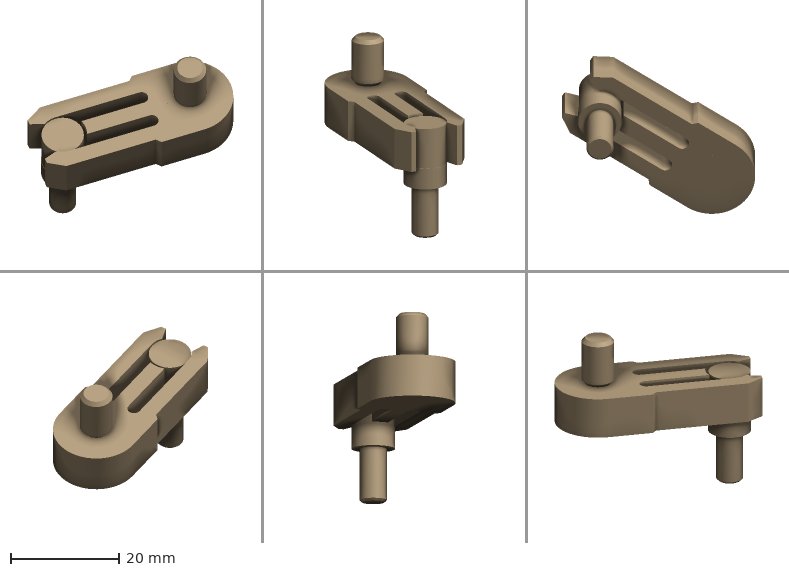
import cadquery as cq
import math


thickness = 7.7
head_radius = 8.0
shoulder_y = -8.5
shoulder_length = 0.8
pin_spacing = 25.0
clamp_y = -pin_spacing
tip_y = clamp_y - 5.0
tongue_width = 3.1
slot_width = 2.45
prong_width = tongue_width
prong_inner_x = tongue_width / 2 + slot_width
prong_outer_x = prong_inner_x + prong_width
prong_taper_y = clamp_y - 1.85
tip_inner_x = 4.15
tip_outer_x = 5.15
tongue_end_radius = 4.5

bore_radius = prong_inner_x
mouth_half_width = 3.25
mouth_y = clamp_y - math.sqrt(bore_radius**2 - mouth_half_width**2)

insert_radius = 4.5
stud_radius = 3.0
stud_length = 9.0
stud_chamfer_length = 0.7
stud_tip_radius = 2.35

neck_radius = 3.9
neck_length = thickness
collar_radius = bore_radius
collar_length = 4.0
collar_gap = 0.3
shank_radius = 2.5
shank_length = 10.0
shank_chamfer = 0.4


def make_arm_blank():
    """Round head, shoulders and a tapered tail, before the slots are cut."""
    return (
        cq.Workplane("XY")
        .moveTo(-head_radius, 0)
        .threePointArc((0, head_radius), (head_radius, 0))
        .lineTo(head_radius, shoulder_y)
        .lineTo(prong_outer_x, shoulder_y - shoulder_length)
        .lineTo(prong_outer_x, prong_taper_y)
        .lineTo(tip_outer_x, tip_y)
        .lineTo(-tip_outer_x, tip_y)
        .lineTo(-prong_outer_x, prong_taper_y)
        .lineTo(-prong_outer_x, shoulder_y - shoulder_length)
        .lineTo(-head_radius, shoulder_y)
        .close()
        .extrude(thickness)
    )


def make_slot(side):
    """Round-ended slot between the tongue and one prong, open into the clamp bore."""
    inner_x = side * tongue_width / 2
    outer_x = side * prong_inner_x
    middle_x = (inner_x + outer_x) / 2
    return (
        cq.Workplane("XY")
        .moveTo(inner_x, clamp_y)
        .lineTo(inner_x, shoulder_y)
        .threePointArc((middle_x, shoulder_y + slot_width / 2), (outer_x, shoulder_y))
        .lineTo(outer_x, clamp_y)
        .close()
        .extrude(thickness)
    )


def make_clamp_bore():
    """Bore around the pin neck, with a mouth that flares towards the tips."""
    bore = cq.Workplane("XY").center(0, clamp_y).circle(bore_radius).extrude(thickness)
    mouth = (
        cq.Workplane("XY")
        .moveTo(-mouth_half_width, clamp_y)
        .lineTo(-mouth_half_width, mouth_y)
        .lineTo(-tip_inner_x, tip_y)
        .lineTo(tip_inner_x, tip_y)
        .lineTo(mouth_half_width, mouth_y)
        .lineTo(mouth_half_width, clamp_y)
        .close()
        .extrude(thickness)
    )
    return bore.union(mouth)


def make_tongue_relief():
    """Clearance that hollows the end of the tongue without reaching the prongs."""
    relief = cq.Workplane("XY").center(0, clamp_y).circle(tongue_end_radius).extrude(thickness)
    head_side = (
        cq.Workplane("XY")
        .center(0, clamp_y + tongue_end_radius / 2)
        .rect(2 * prong_inner_x, tongue_end_radius)
        .extrude(thickness)
    )
    return relief.intersect(head_side)


def make_arm():
    arm = make_arm_blank()
    for side in (-1, 1):
        arm = arm.cut(make_slot(side))
    arm = arm.cut(make_clamp_bore()).cut(make_tongue_relief())
    insert_hole = cq.Workplane("XY").circle(insert_radius).extrude(thickness)
    return arm.cut(insert_hole)


def make_stud():
    """Insert flush with the arm, carrying a stud chamfered at both ends."""
    insert = cq.Workplane("XY").circle(insert_radius).extrude(thickness)
    stud_top = thickness + stud_length
    stud = (
        cq.Workplane("XZ")
        .moveTo(0, thickness)
        .lineTo(stud_tip_radius, thickness)
        .lineTo(stud_radius, thickness + stud_chamfer_length)
        .lineTo(stud_radius, stud_top - stud_chamfer_length)
        .lineTo(stud_tip_radius, stud_top)
        .lineTo(0, stud_top)
        .close()
        .revolve(360, (0, 0, 0), (0, 1, 0))
    )
    return insert.union(stud)


def make_pin():
    """Neck in the clamp bore, collar below the arm and a chamfered shank."""
    collar_top = -collar_gap
    neck = cq.Workplane("XY").workplane(offset=collar_top).circle(neck_radius).extrude(neck_length)
    collar = cq.Workplane("XY").workplane(offset=collar_top).circle(collar_radius).extrude(-collar_length)
    shank = (
        cq.Workplane("XY")
        .workplane(offset=collar_top - collar_length)
        .circle(shank_radius)
        .extrude(-shank_length)
        .faces("<Z")
        .chamfer(shank_chamfer)
    )
    return neck.union(collar).union(shank).translate((0, clamp_y, 0))


arm = make_arm()
stud = make_stud()
pin = make_pin()

result = cq.Compound.makeCompound([arm.val(), stud.val(), pin.val()])